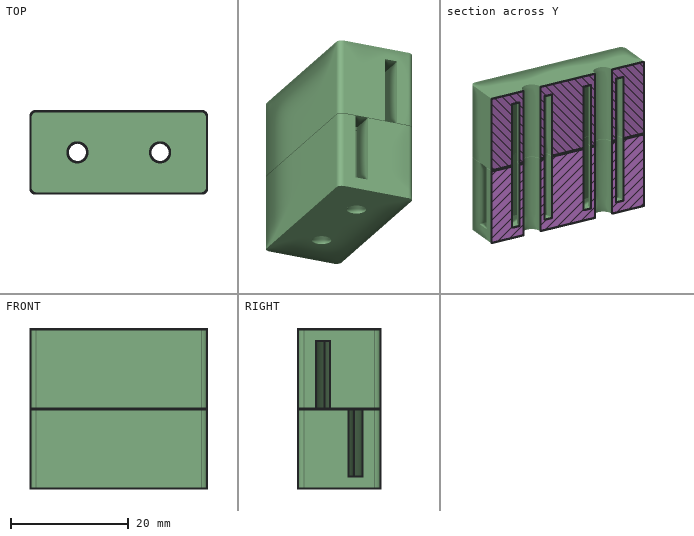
import cadquery as cq

length = 30.0
width = 14.0
total_height = 27.0
gap = 0.1
half_height = (total_height - gap) / 2
corner_radius = 1.0

hole_diameter = 3.3
post_diameter = 5.0
post_spacing = 14.0
end_wall = 2.0
cavity_depth = half_height - end_wall

ring_radius = 3.9
slot_width = 2.3
slot_center_y = ring_radius - slot_width / 2


def make_block():
    """Plain half housing standing on its closed end, mating face at z = half_height."""
    return (
        cq.Workplane("XY")
        .box(length, width, half_height, centered=(True, True, False))
        .edges("|Z")
        .fillet(corner_radius)
    )


def make_cavity(side):
    """Ring and entry slot around the post at the -X (side = -1) or +X (side = 1) end."""
    post_x = side * post_spacing / 2
    slot_length = (length - post_spacing) / 2
    slot_x = side * (length - slot_length) / 2
    floor = cq.Workplane("XY").workplane(offset=end_wall)
    ring = floor.center(post_x, 0).circle(ring_radius).extrude(cavity_depth)
    slot = floor.center(slot_x, slot_center_y).rect(slot_length, slot_width).extrude(cavity_depth)
    post = floor.center(post_x, 0).circle(post_diameter / 2).extrude(cavity_depth)
    return ring.union(slot).cut(post)


def make_post_holes():
    """Through holes along the axes of both posts."""
    return (
        cq.Workplane("XY")
        .pushPoints([(side * post_spacing / 2, 0) for side in (-1, 1)])
        .circle(hole_diameter / 2)
        .extrude(half_height)
    )


def make_half_housing():
    """Half housing, open at its top mating face, with its slots on the +Y side."""
    body = make_block()
    for side in (-1, 1):
        body = body.cut(make_cavity(side))
    return body.cut(make_post_holes())


half_housings = []
for turn in (0, 180):
    half = make_half_housing().translate((0, 0, -total_height / 2))
    half_housings.append(half.rotate((0, 0, 0), (1, 0, 0), turn).val())

result = cq.Compound.makeCompound(half_housings)